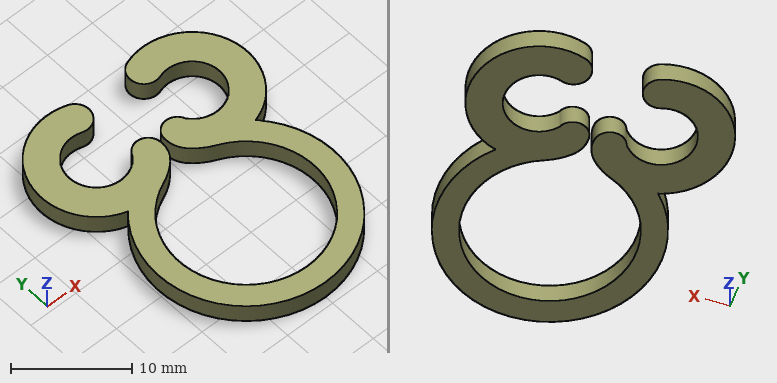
import cadquery as cq
import math

length = 28.35
width = 22.88
thickness = 2.0

ring_outer_radius = 9.75

clip_outer_radius = 6.1
clip_inner_radius = 3.0
clip_x = width / 2 - clip_outer_radius
clip_y = length - ring_outer_radius - clip_outer_radius

center_distance = math.hypot(clip_x, clip_y)
center_angle = math.degrees(math.atan2(clip_y, clip_x))
ring_inner_radius = center_distance - clip_outer_radius

upper_tip_angle = 109.3
lower_tip_inner_angle = 217.0
lower_tip_outer_angle = 223.7

lower_tip_top = (1.53, 11.62)
lower_tip_side = (0.23, 10.2)
lower_tip_flank = (0.4, 9.15)


def polar(center, radius, angle):
    """Point at a radius and an angle in degrees about a center."""
    turn = math.radians(angle)
    return (center[0] + radius * math.cos(turn), center[1] + radius * math.sin(turn))


def crotch_point():
    """Outer corner where the ring's outside meets the clip's outside."""
    cosine = (ring_outer_radius**2 + center_distance**2 - clip_outer_radius**2) / (
        2 * ring_outer_radius * center_distance
    )
    offset = math.degrees(math.acos(cosine))
    return polar((0, 0), ring_outer_radius, center_angle - offset)


def mirrored(point):
    """Matching point on the other side of the mid-plane."""
    return (-point[0], point[1])


def side_arcs():
    """Start point and the arcs (middle, end) of the +X side, from ring outside to throat."""
    center = (clip_x, clip_y)
    mid_radius = (clip_outer_radius + clip_inner_radius) / 2
    cap_radius = (clip_outer_radius - clip_inner_radius) / 2
    cap_center = polar(center, mid_radius, upper_tip_angle)
    throat_angle = center_angle + 180
    outer_arc_middle = (lower_tip_outer_angle + throat_angle) / 2
    arcs = [
        (polar(center, clip_outer_radius, 0), polar(center, clip_outer_radius, upper_tip_angle)),
        (
            polar(cap_center, cap_radius, upper_tip_angle + 90),
            polar(center, clip_inner_radius, upper_tip_angle),
        ),
        (polar(center, clip_inner_radius, 0), polar(center, clip_inner_radius, lower_tip_inner_angle)),
        (lower_tip_top, lower_tip_side),
        (lower_tip_flank, polar(center, clip_outer_radius, lower_tip_outer_angle)),
        (
            polar(center, clip_outer_radius, outer_arc_middle),
            polar((0, 0), ring_inner_radius, center_angle),
        ),
    ]
    return crotch_point(), arcs


def clip_outline():
    """Closed outline of the whole part, symmetric about the mid-plane."""
    crotch, arcs = side_arcs()
    throat = arcs[-1][1]
    outline = cq.Workplane("XY").moveTo(*mirrored(crotch))
    outline = outline.threePointArc((0, -ring_outer_radius), crotch)
    for middle, end in arcs:
        outline = outline.threePointArc(middle, end)
    outline = outline.threePointArc((0, -ring_inner_radius), mirrored(throat))

    starts = [crotch] + [end for _, end in arcs[:-1]]
    for (middle, _), start in zip(reversed(arcs), reversed(starts)):
        outline = outline.threePointArc(mirrored(middle), mirrored(start))
    return outline.close()


result = clip_outline().extrude(thickness)